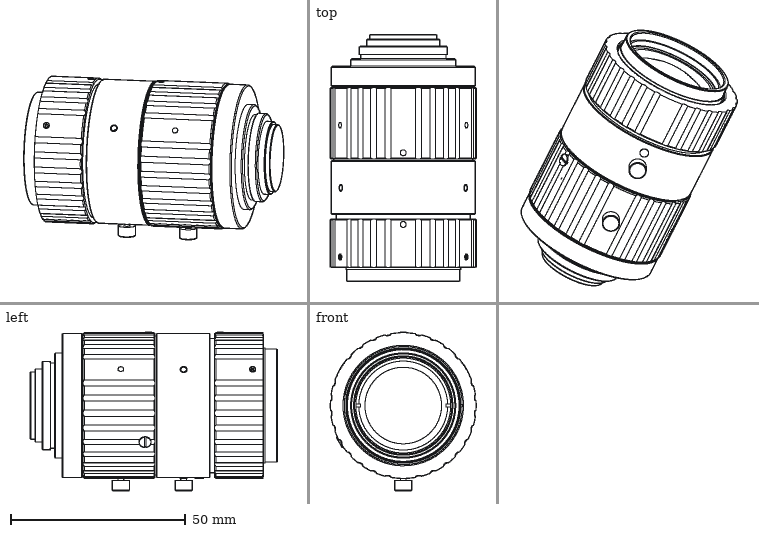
import cadquery as cq
import math

MOUNT_END = 35.5
LENS_APEX = -32.25

PILOT_END = 34.2
STUB_END = 32.2
THREAD_END = 29.7
UNDERCUT_END = 28.55
SHOULDER_END = 26.4
COLLAR_END = 20.6
REAR_RING_START = 20.3
REAR_RING_END = -0.35
MIDDLE_RING_START = -0.8
MIDDLE_RING_END = -16.2
FRONT_RING_START = -17.5
FRONT_RING_END = -31.55
FLANGE_END = -32.05
LIP_END = -35.5

PILOT_RADIUS = 19.4 / 2
STUB_RADIUS = 21.0 / 2
THREAD_RADIUS = 12.7
UNDERCUT_RADIUS = 12.3
SHOULDER_RADIUS = 15.1
COLLAR_RADIUS = 20.75
REAR_GAP_RADIUS = 40.7 / 2
MIDDLE_GAP_RADIUS = 40.1 / 2
FRONT_NECK_RADIUS = 19.3
MIDDLE_RING_RADIUS = 20.75
GRIP_RADIUS = 42.0 / 2
FLANGE_RADIUS = 16.55
LIP_RADIUS = 16.3

SMALL_CHAMFER = 0.2
EDGE_CHAMFER = 0.35
FRONT_FACE_RADIUS = 20.2

RECESS_RADIUS = 17.3
RECESS_DEPTH = 1.1
RECESS_CHAMFER = 0.35

BORE_RADIUS = 14.85
BORE_STEP = -32.95
BORE_CHAMFER = 0.3
INNER_BORE_RADIUS = 14.3
RING_RADIUS = 14.0
RING_FACE_RADIUS = 13.65
SEAT_RADIUS = 12.8
SEAT_FACE = -31.0
LENS_RADIUS = 11.0
LENS_EDGE = -29.3
SPANNER_SLOT_WIDTH = 0.85
SPANNER_SLOT_DEPTH = 0.4

SIDE_HOLE_ANGLES = (30, 150)
TOP_SIDE = 90
UNDERSIDE = 270

FLUTE_PITCH = 12
FLUTE_RADIUS = 2.5 / 2
FLUTE_WIDTH = 1.8
PLAIN_LANDS = (*SIDE_HOLE_ANGLES, TOP_SIDE, UNDERSIDE)
FIRST_FLUTE_ANGLE = 6

REAR_SCREW_STATION = 9.45
MIDDLE_SCREW_STATION = -8.6
FRONT_SCREW_STATION = -28.4
REAR_HOLE_DIAMETER = 1.55
REAR_HOLE_DEPTH = 3.55
MIDDLE_HOLE_DIAMETER = 1.55
MIDDLE_HOLE_DEPTH = 3.55
COUNTERBORE_DIAMETER = 2.0
COUNTERBORE_DEPTH = 0.3
FRONT_HOLE_DIAMETER = 1.7
FRONT_HOLE_DEPTH = 0.35
SOCKET_DIAMETER = 0.85
SOCKET_DEPTH = 0.9

STEM_DIAMETER = 1.7
HEAD_DIAMETER = 5.0
HEAD_INNER = 21.5
HEAD_OUTER = 24.5
STEM_COLLAR_DIAMETER = 2.0

DOT_DIAMETER = 1.7
DOT_RADIUS = 21.1
REAR_DOT_STATION = 1.5
FRONT_DOT_STATION = -19.1
PAD_DIAMETER = 2.5
PAD_STATION = -13.1
BOTTOM_PAD_RADIUS = 20.95

LOCK_ANGLE = 210
LOCK_STATION = 2.5
LOCK_DIAMETER = 3.4
LOCK_HOLE_DIAMETER = 3.5
LOCK_TOP = 21.25
LOCK_DEPTH = 2.1
LOCK_SLOT_WIDTH = 0.4
LOCK_SLOT_DEPTH = 0.6

ROOT_RADIUS = 14.2


def revolve_about_axis(profile):
    return profile.close().revolve(360, (0, 0, 0), (0, 1, 0))


def turned(radius, start, end, start_chamfer=0.0, end_chamfer=0.0, end_drop=None):
    """Cylinder along Y from start down to end, with optional chamfers on its two rims."""
    if end_drop is None:
        end_drop = end_chamfer
    points = [(0, start), (radius - start_chamfer, start)]
    if start_chamfer:
        points.append((radius, start - start_chamfer))
    if end_chamfer:
        points.append((radius, end + end_chamfer))
    points += [(radius - end_drop, end), (0, end)]
    return revolve_about_axis(cq.Workplane("XY").polyline(points))


def radial_cylinder(angle, station, diameter, inner, outer):
    """Cylinder that points out from the axis, at an angle from +X towards +Z."""
    out = cq.Vector(math.cos(math.radians(angle)), 0, math.sin(math.radians(angle)))
    start = cq.Vector(0, station, 0) + out * inner
    return cq.Workplane(obj=cq.Solid.makeCylinder(diameter / 2, outer - inner, start, out))


def fluted_ring(start, end, end_chamfer, end_drop):
    """Grip ring with round-bottomed flutes along its whole length."""
    ring = turned(GRIP_RADIUS, start, end, EDGE_CHAMFER, end_chamfer, end_drop)
    half_width = FLUTE_WIDTH / 2
    rim_distance = math.sqrt(GRIP_RADIUS**2 - half_width**2)
    center_distance = rim_distance + math.sqrt(FLUTE_RADIUS**2 - half_width**2)
    flutes = []
    for angle in range(FIRST_FLUTE_ANGLE, 360, FLUTE_PITCH):
        if angle in PLAIN_LANDS:
            continue
        x = center_distance * math.cos(math.radians(angle))
        z = center_distance * math.sin(math.radians(angle))
        base = cq.Vector(x, start, z)
        flutes.append(cq.Solid.makeCylinder(FLUTE_RADIUS, start - end, base, cq.Vector(0, -1, 0)))
    return ring.cut(cq.Workplane(obj=cq.Compound.makeCompound(flutes)))


def front_recess(floor):
    """Recess in the front ring, with its mouth flared out to the full recess radius."""
    inner_radius = RECESS_RADIUS - RECESS_CHAMFER
    profile = cq.Workplane("XY").polyline(
        [
            (0, floor),
            (inner_radius, floor),
            (inner_radius, FRONT_RING_END + RECESS_CHAMFER),
            (RECESS_RADIUS, FRONT_RING_END),
            (0, FRONT_RING_END),
        ]
    )
    return revolve_about_axis(profile)


def make_body_of_revolution():
    body = turned(PILOT_RADIUS, MOUNT_END, PILOT_END, SMALL_CHAMFER)
    body = body.union(turned(STUB_RADIUS, PILOT_END, STUB_END, SMALL_CHAMFER))
    body = body.union(turned(THREAD_RADIUS, STUB_END, THREAD_END, EDGE_CHAMFER))
    body = body.union(turned(UNDERCUT_RADIUS, THREAD_END, UNDERCUT_END))
    body = body.union(turned(SHOULDER_RADIUS, UNDERCUT_END, SHOULDER_END, EDGE_CHAMFER))
    body = body.union(turned(COLLAR_RADIUS, SHOULDER_END, COLLAR_END, EDGE_CHAMFER, SMALL_CHAMFER))
    body = body.union(turned(REAR_GAP_RADIUS, COLLAR_END, REAR_RING_START))
    body = body.union(fluted_ring(REAR_RING_START, REAR_RING_END, EDGE_CHAMFER, EDGE_CHAMFER))
    body = body.union(turned(MIDDLE_GAP_RADIUS, REAR_RING_END, MIDDLE_RING_START))
    body = body.union(
        turned(MIDDLE_RING_RADIUS, MIDDLE_RING_START, MIDDLE_RING_END, SMALL_CHAMFER, SMALL_CHAMFER)
    )
    body = body.union(turned(FRONT_NECK_RADIUS, MIDDLE_RING_END, FRONT_RING_START))
    front_drop = GRIP_RADIUS - FRONT_FACE_RADIUS
    front_ring = fluted_ring(FRONT_RING_START, FRONT_RING_END, SMALL_CHAMFER, front_drop)
    recess_floor = FRONT_RING_END + RECESS_DEPTH
    front_ring = front_ring.cut(front_recess(recess_floor))
    body = body.union(front_ring)
    body = body.union(turned(FLANGE_RADIUS, recess_floor, FLANGE_END))
    return body.union(turned(LIP_RADIUS, FLANGE_END, LIP_END, 0, SMALL_CHAMFER))


def front_bore():
    """Stepped bore with a conical seat, from the lip back to the edge of the lens."""
    ring_rim = SEAT_FACE - (RING_RADIUS - RING_FACE_RADIUS)
    profile = (
        cq.Workplane("XY")
        .moveTo(0, LIP_END)
        .lineTo(BORE_RADIUS + BORE_CHAMFER, LIP_END)
        .lineTo(BORE_RADIUS, LIP_END + BORE_CHAMFER)
        .lineTo(BORE_RADIUS, BORE_STEP)
        .lineTo(INNER_BORE_RADIUS, BORE_STEP)
        .lineTo(INNER_BORE_RADIUS, ring_rim)
        .lineTo(RING_RADIUS, ring_rim)
        .lineTo(RING_FACE_RADIUS, SEAT_FACE)
        .lineTo(SEAT_RADIUS, SEAT_FACE)
        .lineTo(LENS_RADIUS, LENS_EDGE)
        .lineTo(0, LENS_EDGE)
    )
    return revolve_about_axis(profile)


def lens_dome():
    height = LENS_EDGE - LENS_APEX
    sphere_radius = (LENS_RADIUS**2 + height**2) / (2 * height)
    middle_radius = LENS_RADIUS / 2
    middle_y = LENS_APEX + sphere_radius - math.sqrt(sphere_radius**2 - middle_radius**2)
    profile = (
        cq.Workplane("XY")
        .moveTo(0, LENS_EDGE)
        .lineTo(LENS_RADIUS, LENS_EDGE)
        .threePointArc((middle_radius, middle_y), (0, LENS_APEX))
    )
    return revolve_about_axis(profile)


def spanner_slots():
    """Two notches across the retaining ring, on the X axis."""
    bar = cq.Workplane("XY").box(
        2 * RING_FACE_RADIUS, SPANNER_SLOT_DEPTH, SPANNER_SLOT_WIDTH, centered=(True, False, True)
    )
    bar = bar.translate((0, SEAT_FACE, 0))
    return bar.cut(turned(LENS_RADIUS, SEAT_FACE + SPANNER_SLOT_DEPTH, SEAT_FACE))


def thumbscrew(station):
    """Thumbscrew under the barrel, fused to it through its stem."""
    stem = radial_cylinder(UNDERSIDE, station, STEM_DIAMETER, ROOT_RADIUS, HEAD_INNER)
    head = radial_cylinder(UNDERSIDE, station, HEAD_DIAMETER, HEAD_INNER, HEAD_OUTER)
    return stem.union(head.faces("<Z").chamfer(SMALL_CHAMFER))


def make_barrel():
    barrel = make_body_of_revolution().cut(front_bore()).cut(spanner_slots())
    barrel = barrel.union(lens_dome())

    side_holes = (
        (REAR_SCREW_STATION, REAR_HOLE_DIAMETER, REAR_HOLE_DEPTH),
        (MIDDLE_SCREW_STATION, MIDDLE_HOLE_DIAMETER, MIDDLE_HOLE_DEPTH),
        (MIDDLE_SCREW_STATION, COUNTERBORE_DIAMETER, COUNTERBORE_DEPTH),
        (FRONT_SCREW_STATION, FRONT_HOLE_DIAMETER, FRONT_HOLE_DEPTH),
        (FRONT_SCREW_STATION, SOCKET_DIAMETER, SOCKET_DEPTH),
    )
    for station, diameter, depth in side_holes:
        for angle in SIDE_HOLE_ANGLES:
            floor = GRIP_RADIUS - depth
            barrel = barrel.cut(radial_cylinder(angle, station, diameter, floor, GRIP_RADIUS))

    barrel = barrel.union(thumbscrew(REAR_SCREW_STATION))
    barrel = barrel.union(thumbscrew(MIDDLE_SCREW_STATION))

    for station in (REAR_DOT_STATION, FRONT_DOT_STATION):
        barrel = barrel.union(radial_cylinder(TOP_SIDE, station, DOT_DIAMETER, ROOT_RADIUS, DOT_RADIUS))
    for station, diameter in (
        (MIDDLE_SCREW_STATION, STEM_COLLAR_DIAMETER),
        (PAD_STATION, PAD_DIAMETER),
    ):
        barrel = barrel.union(radial_cylinder(UNDERSIDE, station, diameter, ROOT_RADIUS, BOTTOM_PAD_RADIUS))

    seat = LOCK_TOP - LOCK_DEPTH
    return barrel.cut(radial_cylinder(LOCK_ANGLE, LOCK_STATION, LOCK_HOLE_DIAMETER, seat, LOCK_TOP))


def make_lock_screw():
    """Slotted screw in its hole in the rear ring."""
    screw = radial_cylinder(LOCK_ANGLE, LOCK_STATION, LOCK_DIAMETER, LOCK_TOP - LOCK_DEPTH, LOCK_TOP)
    slot = (
        cq.Workplane("XY")
        .box(2 * LOCK_SLOT_DEPTH, LOCK_SLOT_WIDTH, LOCK_HOLE_DIAMETER)
        .translate((LOCK_TOP, LOCK_STATION, 0))
        .rotate((0, 0, 0), (0, 1, 0), -LOCK_ANGLE)
    )
    return screw.cut(slot)


barrel = make_barrel()
lock_screw = make_lock_screw()

result = cq.Compound.makeCompound([barrel.solids().val(), lock_screw.solids().val()])